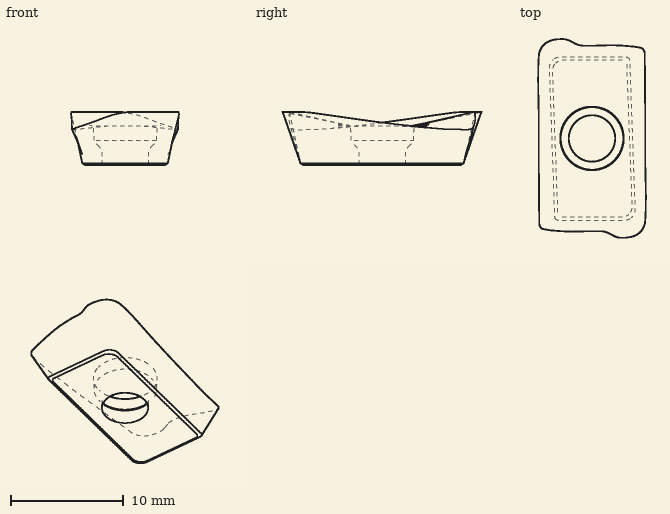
import cadquery as cq
import math

width = 9.59
length = 17.66
height = 4.73
half_width = width / 2
half_length = length / 2

corner_height = 3.15
nose_width = 4.74
corner_width = 4.70
end_depth = 8.24
bulge_margin = 0.005
mid_height = 3.77

base_half_length = 7.24
base_nose_x = 3.84
base_corner_x = 3.32
base_nose_radius = 0.95
base_corner_radius = 0.35
base_split_x = 1.5
chamfer_height = 0.16
chamfer_inset = 0.27

rim_radius = 2.83
rim_height = 3.50
seat_top_radius = 2.77
seat_top_height = 2.20
seat_radius = 2.56
seat_height = 1.89
bore_radius = 4.1 / 2
bore_height = 0.89
bore_overrun = 1.0


def half_turn(edges):
    """Edges followed by their copies turned 180 degrees about Z."""
    axis_end = cq.Vector(0, 0, 1)
    return edges + [edge.rotate(cq.Vector(), axis_end, 180) for edge in edges]


def arc(start, middle, end):
    return cq.Edge.makeThreePointArc(cq.Vector(*start), cq.Vector(*middle), cq.Vector(*end))


def curve(points, start_direction, end_direction):
    directions = [cq.Vector(*start_direction), cq.Vector(*end_direction)]
    return cq.Edge.makeSpline([cq.Vector(*p) for p in points], tangents=directions)


corner_start = (-corner_width, -7.45, corner_height)
corner_end = (-4.30, -8.06, 3.33)
bend_start = (0.75, -end_depth, height)
nose_start = (2.65, -half_length, height)
nose_end = (nose_width, -7.20, height)
side_end = (corner_width, 7.45, corner_height)
joints = [corner_start, corner_end, bend_start, nose_start, nose_end, side_end]

along_end = (1, 0, 0)
leaving_corner = (1, -0.25, 0.33)
leaving_nose = (0.04, 1, 0)
into_corner = (0, 1, 0)
into_turned_corner = (0, -1, 0)


def cutting_edges():
    """Closed edge around the top: small corner, end, S-curve, nose, side, then again."""
    corner = curve(
        [corner_start, (-4.57, -7.88, 3.20), corner_end],
        into_turned_corner,
        leaving_corner,
    )
    end = curve(
        [
            corner_end,
            (-3.3, -8.20, 3.66),
            (-2.0, -8.28, 4.14),
            (-0.9, -8.26, 4.51),
            (-0.1, -end_depth, 4.67),
            bend_start,
        ],
        leaving_corner,
        along_end,
    )
    bend = curve([bend_start, (1.62, -8.49, height), nose_start], along_end, along_end)
    nose = curve([nose_start, (4.21, -8.38, height), nose_end], along_end, leaving_nose)
    side = curve(
        [
            nose_end,
            (half_width - bulge_margin, -5.9, 4.61),
            (4.75, -3.0, 4.20),
            (4.74, 0, mid_height),
            (4.72, 4.2, 3.31),
            side_end,
        ],
        leaving_nose,
        into_corner,
    )
    return half_turn([corner, end, bend, nose, side])


def rounded_corner(before, corner, after, radius):
    """Start, middle and end of the arc that rounds a corner."""
    to_before = (before - corner).normalized()
    to_after = (after - corner).normalized()
    half_angle = to_before.getAngle(to_after) / 2
    bisector = (to_before + to_after).normalized()
    reach = radius / math.tan(half_angle)
    depth = radius / math.sin(half_angle) - radius
    return [corner + to_before * reach, corner + bisector * depth, corner + to_after * reach]


def base_edges(z, inset):
    """Base outline, drawn in by inset, split to match the cutting edge."""
    y = base_half_length - inset
    nose_x = base_nose_x - inset
    corner_x = base_corner_x - inset
    nose = cq.Vector(nose_x, -y, z)
    corner = cq.Vector(-corner_x, -y, z)
    next_corner = cq.Vector(corner_x, y, z)
    next_nose = cq.Vector(-nose_x, y, z)
    split = cq.Vector(base_split_x, -y, z)

    small = rounded_corner(next_nose, corner, nose, base_corner_radius)
    large = rounded_corner(corner, nose, next_corner, base_nose_radius)
    side_stop = cq.Vector(-small[0].x, -small[0].y, z)
    return half_turn([
        cq.Edge.makeThreePointArc(*small),
        cq.Edge.makeLine(small[2], split),
        cq.Edge.makeLine(split, large[0]),
        cq.Edge.makeThreePointArc(*large),
        cq.Edge.makeLine(large[2], side_stop),
    ])


def rim_edges():
    """Hole rim, split in the directions of the joints of the cutting edge."""
    angles = [math.atan2(y, x) for x, y, z in joints]

    def rim_point(angle):
        return (rim_radius * math.cos(angle), rim_radius * math.sin(angle), rim_height)

    pairs = zip(angles, angles[1:])
    return half_turn([arc(rim_point(a), rim_point((a + b) / 2), rim_point(b)) for a, b in pairs])


def ruled_band(lower, upper):
    return [cq.Face.makeRuledSurface(a, b) for a, b in zip(lower, upper)]


def flat_face(edges):
    return cq.Face.makeFromWires(cq.Wire.assembleEdges(edges))


def make_body():
    bottom = base_edges(0, chamfer_inset)
    base = base_edges(chamfer_height, 0)
    top = cutting_edges()
    rim = rim_edges()
    faces = [flat_face(bottom), flat_face(rim)]
    faces += ruled_band(bottom, base)
    faces += ruled_band(base, top)
    faces += ruled_band(top, rim)
    solid = cq.Solid.makeSolid(cq.Shell.makeShell(faces))
    return cq.Workplane(obj=solid.fix())


def make_hole():
    """Tool shape of the screw hole, revolved about Z."""
    run = seat_radius - bore_radius
    rise = seat_height - bore_height
    curve_radius = (run ** 2 + rise ** 2) / (2 * run)
    half_sweep = math.asin(rise / curve_radius) / 2
    curve_middle = (
        bore_radius + curve_radius * (1 - math.cos(half_sweep)),
        bore_height + curve_radius * math.sin(half_sweep),
    )
    return (
        cq.Workplane("XZ")
        .moveTo(0, -bore_overrun)
        .lineTo(bore_radius, -bore_overrun)
        .lineTo(bore_radius, bore_height)
        .threePointArc(curve_middle, (seat_radius, seat_height))
        .lineTo(seat_top_radius, seat_top_height)
        .lineTo(rim_radius, rim_height)
        .lineTo(0, rim_height)
        .close()
        .revolve(360, (0, 0, 0), (0, 1, 0))
    )


result = make_body().cut(make_hole())